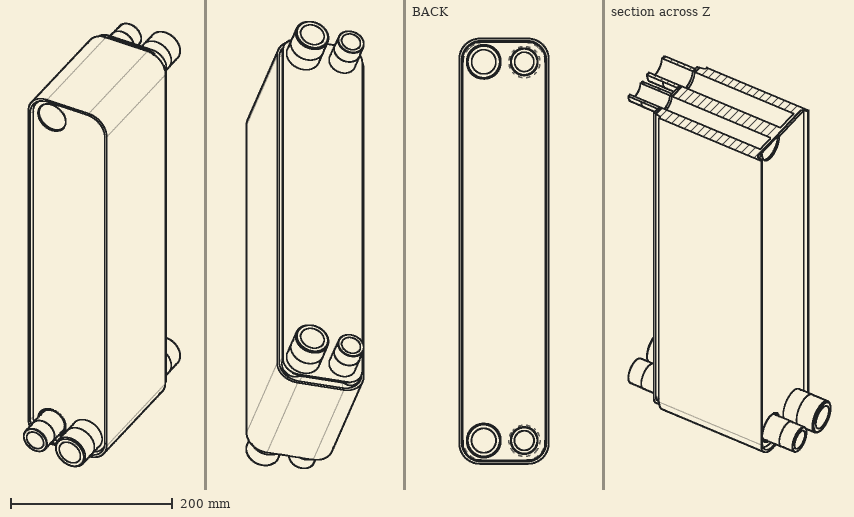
import cadquery as cq


pack_width = 111.0
pack_height = 526.0
pack_depth = 149.0
pack_corner_radius = 26.0

nest_inset = 2.8
nest_corner_radius = 25.0
nest_taper = 2.0
recess_depth = 8.0
skirt_length = 8.0

front_cover_thickness = 3.0
back_cover_corner_radius = 20.0
back_cover_thickness = 3.0
back_cover_lip = 5.5

port_x = 25.0
port_z = 234.0
pocket_radius = 19.6
pocket_floor_radius = 19.0
pocket_depth = 2.0
closed_port_wall = 5.0

small_bore_radius = 12.0
small_base_radius = 16.9
small_tip_radius = 16.6
small_tip_length = 19.4
small_chamfer = 0.6

large_bore_radius = 15.0
large_base_radius = 21.2
large_tip_radius = 21.1
large_tip_length = 24.4
large_chamfer = 1.5

front_large_reach = 38.8
front_small_reach = 37.3
back_large_reach = 45.0
back_small_reach = 43.0

cover_face_y = recess_depth - front_cover_thickness
pocket_floor_y = cover_face_y + pocket_depth
skirt_end_y = pack_depth + skirt_length
back_y = skirt_end_y + back_cover_thickness


def rounded_rectangle(inset, radius):
    """Pack outline moved inwards by an inset, with its own corner radius."""
    return (
        cq.Sketch()
        .rect(pack_width - 2 * inset, pack_height - 2 * inset)
        .vertices()
        .fillet(radius)
    )


def plane_at(y):
    """Plane across the stack, with X to the right, Z up and its normal toward -Y."""
    return cq.Workplane("XZ", origin=(0, y, 0))


def straight_block(start_y, end_y, inset, radius):
    return plane_at(end_y).placeSketch(rounded_rectangle(inset, radius)).extrude(end_y - start_y)


def tapered_block(start_y, length):
    """Nesting shape that narrows toward +Y and keeps its corner radius."""
    wide = rounded_rectangle(nest_inset, nest_corner_radius)
    narrow = rounded_rectangle(nest_inset + nest_taper, nest_corner_radius)
    end = cq.Location(cq.Vector(0, 0, -length))
    return plane_at(start_y).placeSketch(wide, narrow.moved(end)).loft()


def rod(x, z, start_y, end_y, radius):
    return plane_at(end_y).center(x, z).circle(radius).extrude(end_y - start_y)


def make_port_bores():
    """Bores along the stack: the lower pair is open at both ends, the upper pair is closed at the front."""
    closed_end_y = recess_depth + closed_port_wall
    bores = cq.Workplane()
    for x, radius in ((-port_x, small_bore_radius), (port_x, large_bore_radius)):
        bores = bores.add(rod(x, -port_z, 0, back_y, radius))
        bores = bores.add(rod(x, port_z, closed_end_y, back_y, radius))
    return bores.combine()


port_bores = make_port_bores()


def make_plate_pack():
    pack = straight_block(0, pack_depth, 0, pack_corner_radius)
    pack = pack.union(tapered_block(pack_depth, skirt_length))
    return pack.cut(tapered_block(0, recess_depth)).cut(port_bores)


def make_front_cover():
    """Flat plate filling the bottom of the recess, with a shallow conical pocket at each small port."""
    cover = tapered_block(0, recess_depth)
    cover = cover.cut(straight_block(0, cover_face_y, 0, pack_corner_radius))
    for z in (-port_z, port_z):
        pocket = (
            plane_at(cover_face_y)
            .center(-port_x, z)
            .circle(pocket_radius)
            .workplane(offset=-pocket_depth)
            .circle(pocket_floor_radius)
            .loft()
        )
        cover = cover.cut(pocket)
    return cover.cut(port_bores)


def make_back_cover():
    """Flat plate closing the skirt, with lips where its sharper corners reach past the skirt."""
    inset = nest_inset + nest_taper
    cover = straight_block(skirt_end_y - back_cover_lip, back_y, inset, back_cover_corner_radius)
    return cover.cut(tapered_block(pack_depth, skirt_length)).cut(port_bores)


def tube(length, base_radius, tip_radius, tip_length, bore_radius, chamfer):
    """Nozzle standing on Y = 0 and pointing toward -Y, with a base section and a chamfered tip section."""
    base_length = length - tip_length
    base = plane_at(0).circle(base_radius).extrude(base_length)
    tip = plane_at(-base_length).circle(tip_radius).extrude(tip_length).faces("<Y").chamfer(chamfer)
    body = base.union(tip)
    return body.cut(plane_at(0).circle(bore_radius).extrude(length))


def small_nozzle(length):
    return tube(
        length, small_base_radius, small_tip_radius, small_tip_length, small_bore_radius, small_chamfer
    )


def large_nozzle(length):
    return tube(
        length, large_base_radius, large_tip_radius, large_tip_length, large_bore_radius, large_chamfer
    )


def on_back(nozzle, x, z):
    """Turn a nozzle to point toward +Y and stand it on the back cover."""
    return nozzle.mirror("XZ").translate((x, back_y, z))


plate_pack = make_plate_pack()
front_cover = make_front_cover()
back_cover = make_back_cover()

front_nozzles = [
    small_nozzle(front_small_reach + pocket_floor_y).translate((-port_x, pocket_floor_y, -port_z)),
    large_nozzle(front_large_reach + cover_face_y).translate((port_x, cover_face_y, -port_z)),
]

back_nozzles = []
for z in (-port_z, port_z):
    back_nozzles.append(on_back(small_nozzle(back_small_reach), -port_x, z))
    back_nozzles.append(on_back(large_nozzle(back_large_reach), port_x, z))

result = cq.Compound.makeCompound(
    [
        plate_pack.val(),
        front_cover.val(),
        back_cover.val(),
        *[nozzle.val() for nozzle in front_nozzles + back_nozzles],
    ]
)